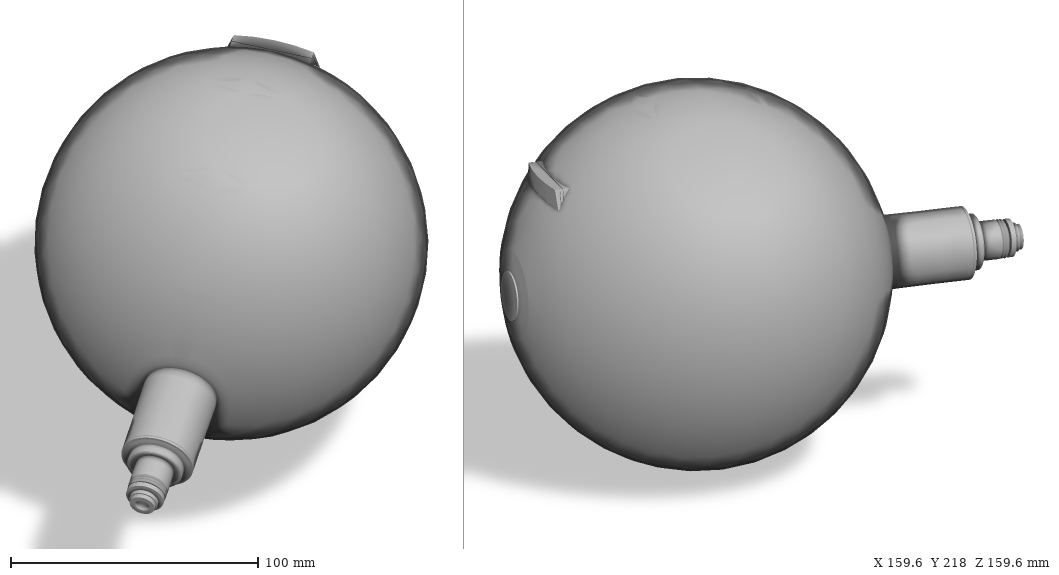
import cadquery as cq
import math

sphere_radius = 79.8
total_length = 218.0
tip_y = sphere_radius - total_length

plug_radius = 18.5
boss_radius = 10.2

neck_radius = 15.3
neck_end_radius = 15.0
neck_end_y = -104.5

head_groove_y = -113.5
head_groove_width = 0.5
head_groove_depth = 0.2
head_bevel_y = -114.9
head_bevel_radius = 14.0
head_end_y = -115.5

shoulder_radius = 11.5
shoulder_end_y = -119.5
shoulder_chamfer = 0.5
shoulder_recess_radius = 10.2
shoulder_recess_depth = 0.9

stem_radius = 8.0
stem_end_y = -128.2
ridge_root_radius = 7.5
ridge_pitch = 1.3
ridge_count = 2
undercut_start_y = stem_end_y - (ridge_count + 0.5) * ridge_pitch

collar_radius = 7.8
collar_start_y = -132.3
collar_end_y = -134.3
undercut_radius = 5.7
nose_radius = 5.2
ring_radius = 5.9
ring_start_y = -135.0
ring_end_y = -136.5
bore_radius = 3.0
bore_depth = 4.4

plate_top_z = 50.1
plate_top_half_width = 16.8
plate_draft_angle = 18.0
plate_crown_y = 67.5
plate_corner_y = 65.2
plate_corner_x = 19.6
plate_root_y = 43.5
plate_bottom_z = 26.2
slot_width = 0.5
slot_depth = 0.5
wrapped_slot_y = 62.5
side_slot_y = 63.9


def turned(outline):
    """Revolve an open outline that starts and ends on the Y axis."""
    return outline.close().revolve(360, (0, 0, 0), (1, 0, 0))


def sphere_y(radius):
    """Distance from the equator at which the sphere has the given radius about Y."""
    return math.sqrt(sphere_radius**2 - radius**2)


def make_shell():
    """Sphere with flat seats for the neck and the plug."""
    neck_seat_y = -sphere_y(neck_radius)
    plug_seat_y = sphere_y(plug_radius)
    outline = (
        cq.Workplane("YZ")
        .moveTo(neck_seat_y, 0)
        .lineTo(neck_seat_y, neck_radius)
        .threePointArc((0, sphere_radius), (plug_seat_y, plug_radius))
        .lineTo(plug_seat_y, 0)
    )
    return turned(outline)


def make_plug():
    """Domed plug that continues the sphere up to its flat boss."""
    plug_seat_y = sphere_y(plug_radius)
    middle_radius = (plug_radius + boss_radius) / 2
    outline = (
        cq.Workplane("YZ")
        .moveTo(plug_seat_y, 0)
        .lineTo(plug_seat_y, plug_radius)
        .threePointArc((sphere_y(middle_radius), middle_radius), (sphere_y(boss_radius), boss_radius))
        .lineTo(sphere_radius, boss_radius)
        .lineTo(sphere_radius, 0)
    )
    return turned(outline)


def make_neck():
    neck_seat_y = -sphere_y(neck_radius)
    outline = cq.Workplane("YZ").polyline([
        (neck_seat_y, 0),
        (neck_seat_y, neck_radius),
        (neck_end_y, neck_end_radius),
        (neck_end_y, 0),
    ])
    return turned(outline)


def head_points():
    groove_middle_y = head_groove_y - head_groove_width / 2
    return [
        (neck_end_y, 0),
        (neck_end_y, neck_end_radius),
        (head_groove_y, neck_end_radius),
        (groove_middle_y, neck_end_radius - head_groove_depth),
        (head_groove_y - head_groove_width, neck_end_radius),
        (head_bevel_y, neck_end_radius),
        (head_bevel_y, head_bevel_radius),
        (head_end_y, shoulder_radius),
    ]


def shoulder_points():
    recess_y = shoulder_end_y + shoulder_recess_depth
    return [
        (shoulder_end_y + shoulder_chamfer, shoulder_radius),
        (shoulder_end_y, shoulder_radius - shoulder_chamfer),
        (shoulder_end_y, shoulder_recess_radius),
        (recess_y, shoulder_recess_radius),
        (recess_y, stem_radius),
    ]


def stem_points():
    points = [(stem_end_y, stem_radius)]
    for ridge in range(ridge_count):
        start_y = stem_end_y - ridge * ridge_pitch
        points.append((start_y - ridge_pitch / 2, ridge_root_radius))
        points.append((start_y - ridge_pitch, stem_radius))
    points.append((undercut_start_y, ridge_root_radius))
    points.append((undercut_start_y, undercut_radius))
    return points


def tip_points():
    return [
        (collar_start_y, undercut_radius),
        (collar_start_y, collar_radius),
        (collar_end_y, collar_radius),
        (collar_end_y, nose_radius),
        (ring_start_y, nose_radius),
        (ring_start_y, ring_radius),
        (ring_end_y, ring_radius),
        (ring_end_y, nose_radius),
        (tip_y, nose_radius),
        (tip_y, bore_radius),
        (tip_y + bore_depth, bore_radius),
        (tip_y + bore_depth, 0),
    ]


def make_valve():
    points = head_points() + shoulder_points() + stem_points() + tip_points()
    return turned(cq.Workplane("YZ").polyline(points))


def drafted_block(y_from, y_to, side_inset, top_inset):
    """Block along Y that widens downward, set in from the plate's sides and top."""
    height = plate_top_z - plate_bottom_z
    slope = math.tan(math.radians(plate_draft_angle))
    top_z = plate_top_z - top_inset
    top_x = plate_top_half_width - side_inset + top_inset * slope
    bottom_x = plate_top_half_width - side_inset + height * slope
    return (
        cq.Workplane("XZ", origin=(0, y_from, 0))
        .polyline([(-top_x, top_z), (top_x, top_z), (bottom_x, plate_bottom_z), (-bottom_x, plate_bottom_z)])
        .close()
        .extrude(y_from - y_to)
    )


def plate_slot(middle_y, top_inset):
    """Thin slot around the plate's sides, and over its top where top_inset is above zero."""
    y_from = middle_y - slot_width / 2
    y_to = middle_y + slot_width / 2
    return drafted_block(y_from, y_to, 0, 0).cut(drafted_block(y_from, y_to, slot_depth, top_inset))


def make_plate():
    arched_outline = (
        cq.Workplane("XY")
        .moveTo(-plate_corner_x, plate_root_y)
        .lineTo(-plate_corner_x, plate_corner_y)
        .threePointArc((0, plate_crown_y), (plate_corner_x, plate_corner_y))
        .lineTo(plate_corner_x, plate_root_y)
        .close()
        .extrude(plate_top_z)
    )
    plate = drafted_block(plate_root_y, plate_crown_y, 0, 0).intersect(arched_outline)
    plate = plate.cut(plate_slot(wrapped_slot_y, slot_depth))
    plate = plate.cut(plate_slot(side_slot_y, 0))
    return plate.cut(cq.Workplane("XY").sphere(sphere_radius))


shell = make_shell()
plug = make_plug()
neck = make_neck()
valve = make_valve()
plate = make_plate()

result = cq.Compound.makeCompound([shell.val(), plug.val(), neck.val(), valve.val(), plate.val()])